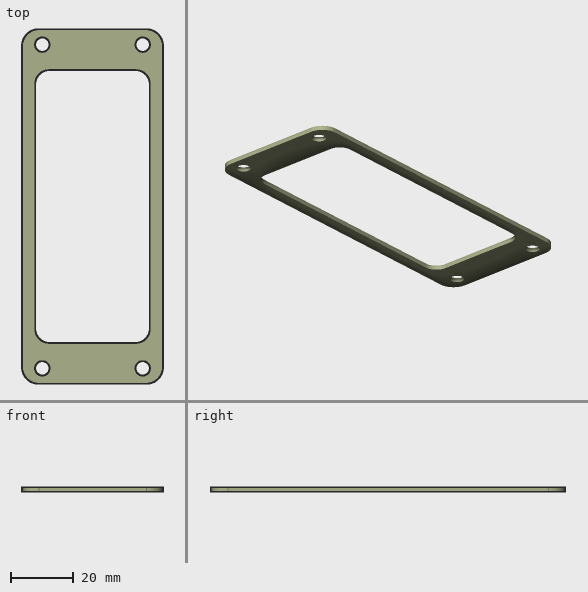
import cadquery as cq

plate_width = 45.0
plate_length = 113.0
plate_thickness = 1.5
plate_corner_radius = 5.4

window_width = 36.4
window_length = 86.8
window_corner_radius = 4.4

hole_diameter = 4.5
hole_spacing_x = 32.0
hole_spacing_y = 103.0


def rounded_plate(width, length, corner_radius):
    """Flat plate with rounded vertical edges, centred on the origin."""
    return (
        cq.Workplane("XY")
        .box(width, length, plate_thickness)
        .edges("|Z")
        .fillet(corner_radius)
    )


plate = rounded_plate(plate_width, plate_length, plate_corner_radius)
window = rounded_plate(window_width, window_length, window_corner_radius)

result = (
    plate.cut(window)
    .faces(">Z")
    .workplane(origin=(0, 0, 0))
    .rect(hole_spacing_x, hole_spacing_y, forConstruction=True)
    .vertices()
    .hole(hole_diameter)
)